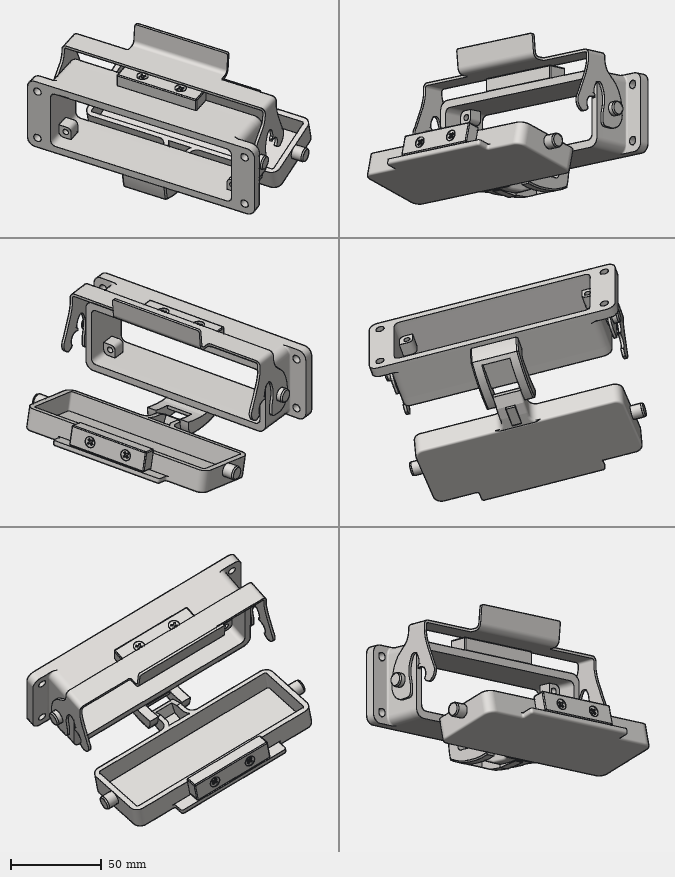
import cadquery as cq
import math


flange_length = 142.5
flange_height = 44.9
flange_thickness = 5.8
flange_corner = 5.0
rim_thickness = 2.0
body_length = 121.1
body_end_length = 120.8
body_depth = 29.5
body_end_height = 44.2
taper_end = 24.4
body_corner = 5.1
flange_root_radius = 0.9
screw_hole_x = 65.0
screw_hole_z = 16.0
screw_hole_diameter = 4.7

opening_length = 113.5
opening_height = 35.9
opening_end_length = 113.1
opening_end_height = 35.3
opening_corner = 3.1
boss_size = 7.7
boss_front = 9.5
boss_depth = 8.0
boss_corner = 2.5
boss_hole_x = 52.3
boss_hole_z = 13.7
boss_hole_diameter = 3.4

peg_diameter = 8.0
peg_span = 135.1
peg_axis_y = 19.8
peg_tip_length = 1.0
peg_tip_bevel = 0.4

pad_length = 50.0
pad_width = 12.0
pad_height = 7.4
pad_bevel = 0.5
pad_center_y = 24.2
pad_screw_spacing = 24.0
screw_head_diameter = 6.3
screw_head_sink = 0.3
cross_length = 3.7
cross_width = 0.9
cross_depth = 0.9

arm_width = 27.5
arm_bevel = 0.9
arm_front_y = 2.8
arm_back_y = 11.8
arm_corner_y = 4.5
arm_corner_z = -34.2
arm_bottom_z = -38.2
arm_top_z = -30.4
arm_inner_radius = 2.3
arm_tip_y = 37.0
arm_tip_z = -27.4
slot_width = 16.2
slot_front_y = 7.1
slot_roof_z = -32.0
slot_roof_end_y = 25.6

cover_tilt = 13.4
cover_peg_y = 67.5
cover_peg_z = -26.0
cover_length = body_end_length
cover_width = 43.5
cover_rim = 3.8
cover_bottom = -9.7
cover_bottom_radius = 1.3
cavity_wall = 3.3
cavity_hinge_wall = 2.8
cavity_floor = 2.0
cavity_corner = 1.1
ledge_length = 71.5
ledge_thickness = 3.3
ledge_reach = 29.0
ledge_corner = 1.4
ledge_root_radius = 1.1
neck_width = slot_width
neck_wall = 2.7
neck_root_radius = 4.7
neck_underside_top = -3.5
tab_width = 5.4

sheet = 1.5
lever_length = 127.7
lever_top_z = 31.2
lever_front_y = 26.6
lever_back_y = 39.8
lever_bend = 3.0
handle_length = 58.4
handle_top_z = 43.9
handle_foot_y = 47.5
handle_lean = 6.0
handle_bend = 4.1
handle_corner = 1.4
handle_root_radius = 1.3

END_SIGNS = (-1, 1)
margin = 0.1


def plate(length, height, corner, start_y, end_y):
    """Rounded rectangle standing in XZ, extruded along +Y."""
    blank = cq.Workplane("XY").box(length, end_y - start_y, height, centered=(True, False, True))
    return blank.edges("|Y").fillet(corner).translate((0, start_y, 0))


def tapered_plate(start_size, end_size, corner, start_y, end_y):
    """Rounded rectangle in XZ that shrinks evenly from start_size to end_size, each (length, height)."""
    start = cq.Sketch().rect(*start_size).vertices().fillet(corner)
    end = cq.Sketch().rect(*end_size).vertices().fillet(corner)
    end = end.moved(cq.Location((0, 0, start_y - end_y)))
    return cq.Workplane("XZ", origin=(0, start_y, 0)).placeSketch(start, end).loft()


def tapered_block(start_size, end_size, corner):
    """Straight rim at the mounting face, then the taper, then a straight end."""
    rim = plate(*start_size, corner, 0, rim_thickness)
    middle = tapered_plate(start_size, end_size, corner, rim_thickness, taper_end)
    end = plate(*end_size, corner, taper_end, body_depth)
    return rim.union(middle).union(end)


def across_x(profile, width):
    """Closed YZ wire extruded evenly to both sides of X = 0."""
    return profile.extrude(width / 2, both=True)


def peg_pair():
    """One bar along X with coned tips, spanning both pegs."""
    bar = cq.Workplane("YZ").circle(peg_diameter / 2).extrude(peg_span / 2, both=True)
    return bar.faces("<X or >X").chamfer(peg_tip_length, peg_tip_bevel)


def outer_pegs():
    """The two peg ends that stand out of the side walls."""
    clearance = 2 * peg_diameter
    between_walls = cq.Workplane("XY").box(body_end_length, clearance, clearance)
    return peg_pair().cut(between_walls)


def screw_recess():
    """Sunk round screw head with a diagonal cross, cut down from Z = 0."""
    head = cq.Workplane("XY").circle(screw_head_diameter / 2).extrude(-screw_head_sink)
    for angle in (45, -45):
        arm = (
            cq.Workplane("XY")
            .box(cross_length, cross_width, cross_depth, centered=(True, True, False))
            .rotate((0, 0, 0), (0, 0, 1), angle)
            .translate((0, 0, -cross_depth))
        )
        head = head.union(arm)
    return head


def screwed_pad():
    """Pad standing on Z = 0 with two screws in its top."""
    pad = cq.Workplane("XY").box(pad_length, pad_width, pad_height, centered=(True, True, False))
    pad = pad.edges("|Z or >Z").chamfer(pad_bevel)
    for sign in END_SIGNS:
        pad = pad.cut(screw_recess().translate((sign * pad_screw_spacing / 2, 0, pad_height)))
    return pad


def housing_shell():
    """Flange and body, tapering together, with the opening right through."""
    drop = body_length - body_end_length
    flange = tapered_block(
        (flange_length, flange_height), (flange_length - drop, body_end_height), flange_corner
    )
    behind_flange = cq.Workplane("XY").box(2 * flange_length, body_depth, 2 * flange_height)
    behind_flange = behind_flange.translate((0, flange_thickness + body_depth / 2, 0))
    body = tapered_block((body_length, flange_height), (body_end_length, body_end_height), body_corner)
    opening = tapered_block(
        (opening_length, opening_height), (opening_end_length, opening_end_height), opening_corner
    )
    shell = flange.cut(behind_flange).union(body)
    for sign in END_SIGNS:
        wall_x = sign * body_length / 2
        root = cq.selectors.BoxSelector(
            (wall_x - body_corner, flange_thickness - margin, -body_end_height / 2),
            (wall_x + body_corner, flange_thickness + margin, body_end_height / 2),
        )
        shell = shell.edges(root).fillet(flange_root_radius)
    return shell.cut(opening)


def flange_holes():
    return (
        cq.Workplane("XZ")
        .rect(2 * screw_hole_x, 2 * screw_hole_z, forConstruction=True)
        .vertices()
        .circle(screw_hole_diameter / 2)
        .extrude(-flange_thickness)
    )


def corner_boss(sign_x, sign_z):
    """Screw boss in one corner of the opening, its root sunk into the walls."""
    root = 1.4
    boss = (
        cq.Workplane("XZ", origin=(0, boss_front, 0))
        .rect(boss_size + root, boss_size + root, centered=False)
        .extrude(-boss_depth)
        .edges("|Y").edges("<X and <Z").fillet(boss_corner)
        .translate((opening_length / 2 - boss_size, 0, opening_height / 2 - boss_size))
    )
    hole = (
        cq.Workplane("XZ", origin=(boss_hole_x, boss_front, boss_hole_z))
        .circle(boss_hole_diameter / 2)
        .extrude(-boss_depth)
    )
    boss = boss.cut(hole)
    if sign_x < 0:
        boss = boss.mirror("YZ")
    if sign_z < 0:
        boss = boss.mirror("XY")
    return boss


def hinge_arm():
    """Arm that drops from the housing floor and curves back to the cover, thickening to its tip."""
    wall_z = -(opening_height + body_end_height) / 4
    profile = (
        cq.Workplane("YZ")
        .moveTo(arm_front_y, wall_z)
        .threePointArc((3.4, -28.5), (arm_corner_y, arm_corner_z))
        .threePointArc((12.1, -37.0), (21.4, arm_bottom_z))
        .threePointArc((28.5, -38.0), (35.2, -36.8))
        .threePointArc((36.6, -32.5), (arm_tip_y, arm_tip_z))
        .threePointArc((29.6, -29.2), (22.5, arm_top_z))
        .lineTo(arm_back_y + arm_inner_radius, arm_top_z)
        .radiusArc((arm_back_y, arm_top_z + arm_inner_radius), arm_inner_radius)
        .lineTo(arm_back_y, wall_z)
        .close()
    )
    arm = across_x(profile, arm_width)
    select = cq.selectors.BoxSelector
    front = select((-arm_width, 0, arm_bottom_z), (arm_width, slot_front_y, wall_z))
    underside = select((-arm_width, 0, arm_bottom_z - 1.4), (arm_width, arm_tip_y, arm_corner_z - 1.4))
    return arm.faces("<X or >X").edges(front + underside).chamfer(arm_bevel)


def clevis_slot():
    """Slot up into the underside of the arm, right through at its tip."""
    low_z = arm_bottom_z - 1.4
    high_z = arm_tip_z + 1.4
    end_y = arm_tip_y + 1.4
    profile = (
        cq.Workplane("YZ")
        .polyline([(slot_front_y, low_z), (slot_front_y, slot_roof_z), (slot_roof_end_y, slot_roof_z),
                   (slot_roof_end_y, high_z), (end_y, high_z), (end_y, low_z)])
        .close()
    )
    return across_x(profile, slot_width)


def build_housing():
    shell = housing_shell().cut(flange_holes())
    for sign_x in END_SIGNS:
        for sign_z in END_SIGNS:
            shell = shell.union(corner_boss(sign_x, sign_z))
    pad = screwed_pad().translate((0, pad_center_y, body_end_height / 2))
    pegs = outer_pegs().translate((0, peg_axis_y, 0))
    return shell.union(pad).union(pegs).union(hinge_arm().cut(clevis_slot()))


def cover_pan():
    height = cover_rim - cover_bottom
    pan = (
        cq.Workplane("XY", origin=(0, 0, cover_bottom))
        .box(cover_length, cover_width, height, centered=(True, True, False))
        .edges("|Z").fillet(body_corner)
    )
    ledge_depth = ledge_reach - cover_width / 2
    ledge = (
        cq.Workplane("XY", origin=(0, cover_width / 2, cover_bottom))
        .box(ledge_length, 2 * ledge_depth, ledge_thickness, centered=(True, True, False))
        .edges("|Z and >Y").fillet(ledge_corner)
    )
    pan = pan.union(ledge)
    roots = cq.selectors.BoxSelector(
        (-ledge_length / 2 - margin, cover_width / 2 - margin, cover_bottom),
        (ledge_length / 2 + margin, cover_width / 2 + margin, cover_rim),
    )
    pan = pan.edges("|Z").edges(roots).fillet(ledge_root_radius)
    return pan.faces("<Z").edges().fillet(cover_bottom_radius)


def cover_cavity():
    front_y = cavity_hinge_wall - cover_width / 2
    back_y = cover_width / 2 - cavity_wall
    return (
        cq.Workplane("XY", origin=(0, (front_y + back_y) / 2, cover_bottom + cavity_floor))
        .box(cover_length - 2 * cavity_wall, back_y - front_y, cover_rim - cover_bottom,
             centered=(True, True, False))
        .edges("|Z").fillet(cavity_corner)
    )


def cover_pad():
    pad = screwed_pad().rotate((0, 0, 0), (1, 0, 0), -90)
    return pad.translate((0, cover_width / 2, 0))


def tilted_into_place(shape):
    turned = shape.rotate((0, 0, 0), (1, 0, 0), cover_tilt)
    return turned.translate((0, cover_peg_y, cover_peg_z))


def cover_neck():
    """Hollow neck, open at the top, that reaches from the pan into the clevis slot."""
    wall_y = -cover_width / 2
    far_y = 2 * wall_y
    tall = 4 * cover_width
    flare_x = neck_width / 2 + neck_root_radius
    flare_y = wall_y - neck_root_radius

    def flared_strip(radius):
        """Plan of the neck, whose sides curve outward about (+-flare_x, flare_y)."""
        strip = cq.Workplane("XY").box(2 * flare_x, wall_y - far_y, tall)
        strip = strip.translate((0, (wall_y + far_y) / 2, 0))
        for sign in END_SIGNS:
            post = cq.Workplane("XY").center(sign * flare_x, flare_y).circle(radius)
            strip = strip.cut(post.extrude(tall / 2, both=True))
            side = cq.Workplane("XY").box(2 * radius, flare_y - far_y, tall)
            strip = strip.cut(side.translate((sign * flare_x, (flare_y + far_y) / 2, 0)))
        return strip

    outside = (
        cq.Workplane("YZ")
        .polyline([(wall_y, cover_rim), (-31.8, cover_rim), (-40.2, 1.0), (-41.8, -2.5), (-35.6, -6.5),
                   (-28.9, -8.4), (wall_y, cover_bottom)])
        .close()
    )
    inside = (
        cq.Workplane("YZ")
        .polyline([(wall_y, cover_rim + 1.4), (-37.8, cover_rim + 1.4), (-35.6, -4.5), (-28.9, -6.4),
                   (wall_y, cover_bottom + neck_wall)])
        .close()
    )
    neck = across_x(outside, tall).intersect(flared_strip(neck_root_radius))
    underside = cq.selectors.BoxSelector(
        (-flare_x, far_y, cover_bottom), (flare_x, wall_y, neck_underside_top)
    )
    neck = neck.edges(underside).edges("not(|X)").fillet(cover_bottom_radius)
    hollow = across_x(inside, tall).intersect(flared_strip(neck_root_radius + neck_wall))
    return neck.cut(hollow)


def cover_tab():
    """Small stop under the neck, placed with the cover already tilted."""
    profile = (
        cq.Workplane("YZ")
        .polyline([(34.5, -39.9), (34.5, -42.3), (47.0, -40.9), (47.0, -39.9)])
        .close()
    )
    return across_x(profile, tab_width)


def build_cover():
    cover = cover_pan().cut(cover_cavity()).union(cover_neck()).union(cover_pad()).union(outer_pegs())
    return tilted_into_place(cover).union(cover_tab())


def lever_side_outline():
    """Side plate outline: pivot lobe in front, hooked finger behind, slot between."""
    return (
        cq.Workplane("YZ")
        .moveTo(lever_front_y, lever_top_z)
        .lineTo(lever_back_y, lever_top_z)
        .lineTo(lever_back_y, 24.1)
        .threePointArc((40.9, 19.2), (43.2, 13.4))
        .lineTo(46.9, 4.7)
        .threePointArc((47.3, -2.0), (43.7, -4.8))
        .threePointArc((41.5, -4.1), (39.9, -2.5))
        .threePointArc((39.9, 3.0), (34.3, 4.1))
        .lineTo(34.3, 5.4)
        .lineTo(35.5, 6.7)
        .threePointArc((34.9, 10.3), (33.5, 12.7))
        .threePointArc((31.4, 13.7), (29.2, 12.4))
        .threePointArc((27.1, 6.3), (27.5, -0.5))
        .lineTo(28.1, -3.3)
        .lineTo(28.1, -8.0)
        .threePointArc((27.4, -10.1), (25.6, -10.8))
        .lineTo(20.2, -11.1)
        .threePointArc((14.2, -7.1), (13.1, -0.5))
        .threePointArc((14.2, 7.1), (17.8, 14.1))
        .lineTo(24.5, 20.7)
        .threePointArc((26.2, 24.4), (lever_front_y, 28.1))
        .close()
    )


def lever_channel():
    """Inverted U of sheet, wide enough in Y to hold the whole side outline."""
    depth = 85.5
    leg = 85.5

    def block(length, top, bend):
        return (
            cq.Workplane("XY", origin=(0, 0, top - leg))
            .box(length, depth, leg, centered=(True, False, False))
            .edges("|Y and >Z").fillet(bend)
        )
    inside = block(lever_length - 2 * sheet, lever_top_z - sheet, lever_bend - sheet)
    return block(lever_length, lever_top_z, lever_bend).cut(inside)


def lever_handle():
    lean = math.tan(math.radians(handle_lean))
    across = sheet / math.cos(math.radians(handle_lean))
    under_z = lever_top_z - sheet
    top_y = handle_foot_y + lean * (handle_top_z - under_z)
    inner_y = handle_foot_y + lean * sheet - across
    profile = (
        cq.Workplane("YZ")
        .polyline([(lever_back_y, under_z), (handle_foot_y, under_z), (top_y, handle_top_z),
                   (top_y - across, handle_top_z), (inner_y, lever_top_z), (lever_back_y, lever_top_z)])
        .close()
    )
    handle = across_x(profile, handle_length)
    bend_edges = handle.edges("|X")
    outer = bend_edges.edges(cq.selectors.NearestToPointSelector((0, handle_foot_y, under_z)))
    handle = outer.fillet(handle_bend)
    inner = handle.edges("|X").edges(cq.selectors.NearestToPointSelector((0, inner_y, lever_top_z)))
    handle = inner.fillet(handle_bend - sheet)
    return handle.faces(">Z").edges("<X or >X").fillet(handle_corner)


def build_lever():
    sides = across_x(lever_side_outline(), lever_length)
    lever = lever_channel().intersect(sides).union(lever_handle())
    root_line = cq.selectors.BoxSelector(
        (-handle_length, lever_back_y - margin, lever_top_z - sheet - margin),
        (handle_length, lever_back_y + margin, lever_top_z + margin),
    )
    lever = lever.edges("|Z").edges(root_line).fillet(handle_root_radius)
    return lever.cut(peg_pair().translate((0, peg_axis_y, 0)))


housing = build_housing()
cover = build_cover()
lever = build_lever()
result = cq.Compound.makeCompound([housing.solids().val(), cover.solids().val(), lever.solids().val()])